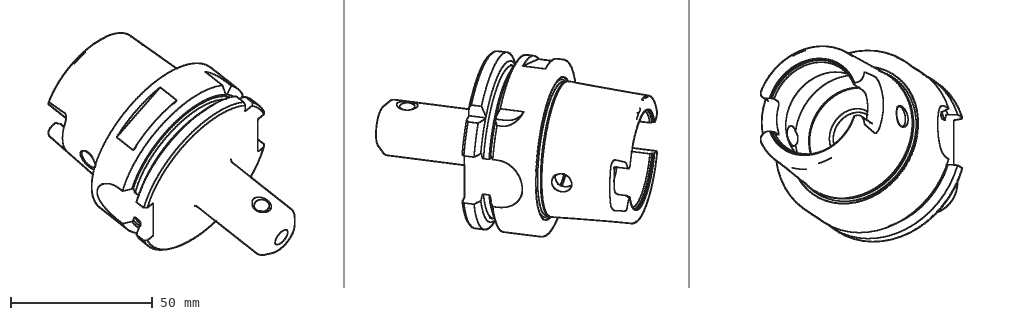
import cadquery as cq
import math

TOTAL_LENGTH = 95.5

TAPER_END_X = 30.2
TAPER_SMALL_R = 22.7
TAPER_LARGE_R = 24.2
MOUTH_EDGE_ROUND = 1.0
NECK_R = 23.8
NECK_RELIEF_LENGTH = 0.6
NECK_ROOT_CHAMFER = 0.7
FACE_RECESS_R = 25.4
FACE_RECESS_DEPTH = 0.5

FLANGE_START_X = 32.0
FLANGE_END_X = 57.9
FLANGE_R = 31.5
FLANGE_EDGE = 0.9
GROOVE_FLOOR_START_X = 48.1
GROOVE_FLOOR_END_X = 51.7
GROOVE_FLOOR_R = 27.1
GROOVE_FLANK_FOOT_R = 28.65
GROOVE_FLANK_ANGLE = 30.0
GROOVE_FLOOR_ROUND = 0.8

SHANK_R = 9.9
SHANK_ROOT_ROUND = 4.9
TIP_CHAMFER = 3.2
TIP_OUTER_ROUND = 1.4
TIP_INNER_ROUND = 2.4

MOUTH_R = 18.0
MOUTH_LAND_R = 17.6
MOUTH_LAND_LENGTH = 0.5
BORE_R = 17.0
CLAMP_GROOVE_R = 40.0 / 2
CLAMP_GROOVE_START_X = 12.6
CLAMP_GROOVE_FRONT_ANGLE = 60.0
CLAMP_GROOVE_REAR_X = 25.6
CLAMP_GROOVE_REAR_ANGLE = 30.0
BORE_FLOOR_X = 31.5
BORE_FLOOR_ROUND = 1.3
COOLANT_SEAT_R = 8.5
COOLANT_SEAT_MOUTH_R = 19.0 / 2
COOLANT_SEAT_END_X = 42.0
COOLANT_BORE_R = 3.15
COOLANT_BORE_MOUTH_R = 4.2

NOTCH_HALF_WIDTH = 6.2
NOTCH_MINUS_Y_DEPTH = 9.8
NOTCH_PLUS_Y_DEPTH = 5.7
NOTCH_FLAT_Y = 20.5
NOTCH_CORNER_ROUND = 2.8
NOTCH_FLOOR_ROUND = 1.4

CROSS_HOLE_X = 23.0
CROSS_HOLE_R = 7.2 / 2
CROSS_HOLE_MOUTH_R = 4.2
CROSS_HOLE_MOUTH_DEPTH = 1.0

KEYWAY_R = 9.5
KEYWAY_CENTER_X = 44.8
KEYWAY_FLOOR_Y = 26.2
KEYWAY_FLOOR_ROUND = 0.5

ORIENTATION_WALL_Z = 20.1
ORIENTATION_FLOOR_Y = 19.9
ORIENTATION_R = 7.8
ORIENTATION_CENTER_X = 44.9

FLAT_START_X = 35.3
FLAT_END_X = 43.55
FLAT_FRONT_Y = -21.8

SCREW_HOLE_X = 85.7
SCREW_HOLE_R = 2.7
SCREW_SINK_R = 7.5 / 2
SCREW_SINK_HALF_ANGLE = 60.0


def tan_deg(angle):
    return math.tan(math.radians(angle))


def revolve_about_x(profile):
    return profile.close().revolve(360, (0, 0, 0), (1, 0, 0))


def round_vertex(corner, before, after, radius):
    """Start, middle and end of an arc that rounds a corner between two neighbours."""
    corner, before, after = (cq.Vector(*p) for p in (corner, before, after))
    to_before = (before - corner).normalized()
    to_after = (after - corner).normalized()
    half_angle = to_before.getAngle(to_after) / 2
    tangent_length = radius / math.tan(half_angle)
    bisector = (to_before + to_after).normalized()
    middle = corner + bisector * (radius / math.sin(half_angle) - radius)
    points = (corner + to_before * tangent_length, middle, corner + to_after * tangent_length)
    return [(p.x, p.y) for p in points]


def make_body():
    root_x = FLANGE_END_X + SHANK_ROOT_ROUND
    root_r = SHANK_R + SHANK_ROOT_ROUND
    root_mid = SHANK_ROOT_ROUND * (1 - math.sqrt(0.5))
    axis_tip = (TOTAL_LENGTH, 0)
    tip_inner = (TOTAL_LENGTH, SHANK_R - TIP_CHAMFER)
    tip_outer = (TOTAL_LENGTH - TIP_CHAMFER, SHANK_R)
    outer_arc = round_vertex(tip_outer, (root_x, SHANK_R), tip_inner, TIP_OUTER_ROUND)
    inner_arc = round_vertex(tip_inner, tip_outer, axis_tip, TIP_INNER_ROUND)
    mouth_arc = round_vertex(
        (0, TAPER_SMALL_R), (0, 0), (TAPER_END_X, TAPER_LARGE_R), MOUTH_EDGE_ROUND
    )
    flange_arc = round_vertex(
        (FLANGE_START_X, FLANGE_R), (FLANGE_START_X, 0), (FLANGE_END_X, FLANGE_R), FLANGE_EDGE
    )
    recess_x = FLANGE_START_X + FACE_RECESS_DEPTH
    profile = (
        cq.Workplane("XY")
        .moveTo(0, 0)
        .lineTo(*mouth_arc[0])
        .threePointArc(*mouth_arc[1:])
        .lineTo(TAPER_END_X, TAPER_LARGE_R)
        .lineTo(TAPER_END_X + NECK_RELIEF_LENGTH, NECK_R)
        .lineTo(recess_x - NECK_ROOT_CHAMFER, NECK_R)
        .lineTo(recess_x, NECK_R + NECK_ROOT_CHAMFER)
        .lineTo(recess_x, FACE_RECESS_R)
        .lineTo(FLANGE_START_X, FACE_RECESS_R)
        .lineTo(*flange_arc[0])
        .threePointArc(*flange_arc[1:])
        .lineTo(FLANGE_END_X - FLANGE_EDGE, FLANGE_R)
        .lineTo(FLANGE_END_X, FLANGE_R - FLANGE_EDGE)
        .lineTo(FLANGE_END_X, root_r)
        .threePointArc((FLANGE_END_X + root_mid, SHANK_R + root_mid), (root_x, SHANK_R))
        .lineTo(*outer_arc[0])
        .threePointArc(*outer_arc[1:])
        .lineTo(*inner_arc[0])
        .threePointArc(*inner_arc[1:])
        .lineTo(*axis_tip)
    )
    return revolve_about_x(profile)


def make_gripper_groove():
    flank_run = (FLANGE_R - GROOVE_FLANK_FOOT_R) * tan_deg(GROOVE_FLANK_ANGLE)
    left_x = GROOVE_FLOOR_START_X
    right_x = GROOVE_FLOOR_END_X
    left_foot = (left_x, GROOVE_FLANK_FOOT_R)
    left_corner = (left_x, GROOVE_FLOOR_R)
    right_corner = (right_x, GROOVE_FLOOR_R)
    right_foot = (right_x, GROOVE_FLANK_FOOT_R)
    left_arc = round_vertex(left_corner, left_foot, right_corner, GROOVE_FLOOR_ROUND)
    right_arc = round_vertex(right_corner, left_corner, right_foot, GROOVE_FLOOR_ROUND)
    profile = (
        cq.Workplane("XY")
        .moveTo(left_x - flank_run, FLANGE_R)
        .lineTo(*left_foot)
        .lineTo(*left_arc[0])
        .threePointArc(*left_arc[1:])
        .lineTo(*right_arc[0])
        .threePointArc(*right_arc[1:])
        .lineTo(*right_foot)
        .lineTo(right_x + flank_run, FLANGE_R)
    )
    return revolve_about_x(profile)


def make_bore():
    groove_depth = CLAMP_GROOVE_R - BORE_R
    front_run = groove_depth / tan_deg(CLAMP_GROOVE_FRONT_ANGLE)
    rear_run = groove_depth / tan_deg(CLAMP_GROOVE_REAR_ANGLE)
    seat_chamfer = COOLANT_SEAT_MOUTH_R - COOLANT_SEAT_R
    coolant_chamfer = COOLANT_BORE_MOUTH_R - COOLANT_BORE_R
    land_start = MOUTH_R - MOUTH_LAND_R
    land_end = land_start + MOUTH_LAND_LENGTH
    floor_arc = round_vertex(
        (BORE_FLOOR_X, BORE_R), (0, BORE_R), (BORE_FLOOR_X, 0), BORE_FLOOR_ROUND
    )
    profile = (
        cq.Workplane("XY")
        .moveTo(0, 0)
        .lineTo(0, MOUTH_R)
        .lineTo(land_start, MOUTH_LAND_R)
        .lineTo(land_end, MOUTH_LAND_R)
        .lineTo(land_end + MOUTH_LAND_R - BORE_R, BORE_R)
        .lineTo(CLAMP_GROOVE_START_X, BORE_R)
        .lineTo(CLAMP_GROOVE_START_X + front_run, CLAMP_GROOVE_R)
        .lineTo(CLAMP_GROOVE_REAR_X, CLAMP_GROOVE_R)
        .lineTo(CLAMP_GROOVE_REAR_X + rear_run, BORE_R)
        .lineTo(*floor_arc[0])
        .threePointArc(*floor_arc[1:])
        .lineTo(BORE_FLOOR_X, COOLANT_SEAT_MOUTH_R)
        .lineTo(BORE_FLOOR_X + seat_chamfer, COOLANT_SEAT_R)
        .lineTo(COOLANT_SEAT_END_X, COOLANT_SEAT_R)
        .lineTo(COOLANT_SEAT_END_X, COOLANT_BORE_MOUTH_R)
        .lineTo(COOLANT_SEAT_END_X + coolant_chamfer, COOLANT_BORE_R)
        .lineTo(TOTAL_LENGTH, COOLANT_BORE_R)
        .lineTo(TOTAL_LENGTH, 0)
    )
    return revolve_about_x(profile)


def make_drive_notch(depth):
    """Notch on the +Y side, open to the taper end; it widens outside the rounded tongue corners."""
    outside = FLANGE_R
    top_arc = round_vertex(
        (NOTCH_FLAT_Y, NOTCH_HALF_WIDTH), (0, NOTCH_HALF_WIDTH), (NOTCH_FLAT_Y, outside), NOTCH_CORNER_ROUND
    )
    low_arc = [(y, -z) for y, z in reversed(top_arc)]
    return (
        cq.Workplane("YZ")
        .moveTo(0, -NOTCH_HALF_WIDTH)
        .lineTo(0, NOTCH_HALF_WIDTH)
        .lineTo(*top_arc[0])
        .threePointArc(*top_arc[1:])
        .lineTo(NOTCH_FLAT_Y, outside)
        .lineTo(outside, outside)
        .lineTo(outside, -outside)
        .lineTo(NOTCH_FLAT_Y, -outside)
        .lineTo(*low_arc[0])
        .threePointArc(*low_arc[1:])
        .close()
        .extrude(depth)
        .faces(">X")
        .edges()
        .fillet(NOTCH_FLOOR_ROUND)
    )


def make_cross_hole():
    """Round hole through both taper walls, with a wider mouth on the -Y side."""
    rim = (CROSS_HOLE_X, -TAPER_LARGE_R, 0)
    hole = cq.Solid.makeCylinder(CROSS_HOLE_R, 2 * TAPER_LARGE_R, cq.Vector(*rim), cq.Vector(0, 1, 0))
    mouth = cq.Solid.makeCone(
        CROSS_HOLE_MOUTH_R, CROSS_HOLE_R, CROSS_HOLE_MOUTH_DEPTH, cq.Vector(*rim), cq.Vector(0, 1, 0)
    )
    return cq.Workplane(obj=hole).union(cq.Workplane(obj=mouth))


def make_round_ended_slot(radius, center_x, floor_y):
    """Slot on the +Y side of the flange, with a round end towards the taper and open at the rear."""
    rear_x = FLANGE_END_X + radius
    return (
        cq.Workplane("XZ", origin=(0, FLANGE_R, 0))
        .moveTo(rear_x, radius)
        .lineTo(center_x, radius)
        .threePointArc((center_x - radius, 0), (center_x, -radius))
        .lineTo(rear_x, -radius)
        .close()
        .extrude(FLANGE_R - floor_y)
    )


def make_keyway():
    slot = make_round_ended_slot(KEYWAY_R, KEYWAY_CENTER_X, KEYWAY_FLOOR_Y)
    return slot.faces("<Y").edges().fillet(KEYWAY_FLOOR_ROUND)


def make_orientation_notch():
    slot = make_round_ended_slot(ORIENTATION_R, ORIENTATION_CENTER_X, ORIENTATION_FLOOR_Y)
    return slot.translate((0, 0, ORIENTATION_WALL_Z + ORIENTATION_R))


def make_flat():
    """Region between the flange rim and a chord that starts at the top of the rim."""
    chord_z = math.sqrt(FLANGE_R**2 - FLAT_FRONT_Y**2)
    return (
        cq.Workplane("YZ", origin=(FLAT_START_X, 0, 0))
        .moveTo(0, FLANGE_R)
        .lineTo(FLAT_FRONT_Y, chord_z)
        .lineTo(FLAT_FRONT_Y, FLANGE_R)
        .close()
        .extrude(FLAT_END_X - FLAT_START_X)
    )


def make_screw_hole():
    """Radial hole from the top of the shank into the axial bore, with a conical sink."""
    sink_depth = SCREW_SINK_R / tan_deg(SCREW_SINK_HALF_ANGLE)
    sink_tip = cq.Vector(SCREW_HOLE_X, 0, SHANK_R - sink_depth)
    sink = cq.Solid.makeCone(0, SCREW_SINK_R, sink_depth, sink_tip, cq.Vector(0, 0, 1))
    hole = cq.Workplane("XY", origin=(SCREW_HOLE_X, 0, 0)).circle(SCREW_HOLE_R).extrude(SHANK_R)
    return hole.union(cq.Workplane(obj=sink))


result = (
    make_body()
    .cut(make_gripper_groove())
    .cut(make_bore())
    .cut(make_drive_notch(NOTCH_PLUS_Y_DEPTH))
    .cut(make_drive_notch(NOTCH_MINUS_Y_DEPTH).mirror("XZ"))
    .cut(make_cross_hole())
    .cut(make_keyway())
    .cut(make_keyway().mirror("XZ"))
    .cut(make_orientation_notch())
    .cut(make_flat())
    .cut(make_screw_hole())
)